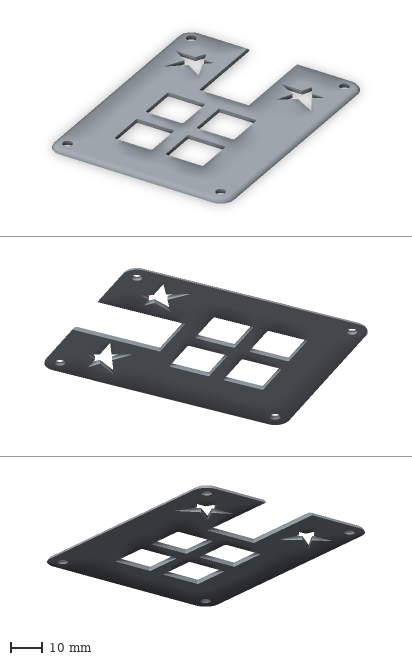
import cadquery as cq
import math

WIDTH = 67.0
LENGTH = 85.9
THICKNESS = 1.5
CORNER_RADIUS = 5.0
EDGE_RADIUS = 2.0

HOLE_DIAMETER = 3.4

NOTCH_LEFT = -9.9
NOTCH_RIGHT = 8.6
NOTCH_FLOOR = 12.1

WINDOW_SIZE = 14.0
WINDOW_RADIUS = 0.5
WINDOW_PITCH = 19.1
WINDOW_GROUP_CENTER = (-1.0, -10.9)

STAR_TOP = 32.1
STAR_ARMS = 28.7
STAR_FEET = 19.5
LEFT_STAR_LOW_FOOT = 18.3
LEFT_STAR = [
    (-19.4, STAR_TOP),
    (-14.3, STAR_ARMS),
    (-14.6, STAR_FEET),
    (-27.15, LEFT_STAR_LOW_FOOT),
    (-28.7, STAR_ARMS),
]
RIGHT_STAR = [
    (20.0, STAR_TOP),
    (26.8, STAR_ARMS),
    (27.4, STAR_FEET),
    (14.2, STAR_FEET),
    (10.7, STAR_ARMS),
]


def make_plate():
    """Rounded plate whose edge arc is tangent to the top and cut off by the underside."""
    arc_center_drop = EDGE_RADIUS - THICKNESS
    overhang = EDGE_RADIUS - math.sqrt(EDGE_RADIUS**2 - arc_center_drop**2)
    blank_depth = 2 * EDGE_RADIUS
    blank = (
        cq.Workplane("XY")
        .workplane(offset=THICKNESS - blank_depth)
        .rect(WIDTH + 2 * overhang, LENGTH + 2 * overhang)
        .extrude(blank_depth)
        .edges("|Z")
        .fillet(CORNER_RADIUS + overhang)
        .faces(">Z")
        .edges()
        .fillet(EDGE_RADIUS)
    )
    keep = cq.Workplane("XY").rect(2 * WIDTH, 2 * LENGTH).extrude(THICKNESS)
    return blank.intersect(keep)


def make_corner_holes():
    return (
        cq.Workplane("XY")
        .rect(WIDTH - 2 * CORNER_RADIUS, LENGTH - 2 * CORNER_RADIUS, forConstruction=True)
        .vertices()
        .circle(HOLE_DIAMETER / 2)
        .extrude(THICKNESS)
    )


def make_notch():
    return (
        cq.Workplane("XY")
        .moveTo(NOTCH_LEFT, NOTCH_FLOOR)
        .rect(NOTCH_RIGHT - NOTCH_LEFT, LENGTH, centered=False)
        .extrude(THICKNESS)
    )


def make_windows():
    return (
        cq.Workplane("XY")
        .center(*WINDOW_GROUP_CENTER)
        .rarray(WINDOW_PITCH, WINDOW_PITCH, 2, 2)
        .rect(WINDOW_SIZE, WINDOW_SIZE)
        .extrude(THICKNESS)
        .edges("|Z")
        .fillet(WINDOW_RADIUS)
    )


def crossing(a, b, c, d):
    """Point where the line through a and b meets the line through c and d."""
    ab_x, ab_y = b[0] - a[0], b[1] - a[1]
    cd_x, cd_y = d[0] - c[0], d[1] - c[1]
    along = ((c[0] - a[0]) * cd_y - (c[1] - a[1]) * cd_x) / (ab_x * cd_y - ab_y * cd_x)
    return (a[0] + along * ab_x, a[1] + along * ab_y)


def make_star(tips):
    """Pentagram cutter: each inner corner is where two lines between tips cross."""
    outline = []
    count = len(tips)
    for i in range(count):
        tip = tips[i]
        next_tip = tips[(i + 1) % count]
        second_tip = tips[(i + 2) % count]
        previous_tip = tips[i - 1]
        outline.append(tip)
        outline.append(crossing(tip, second_tip, next_tip, previous_tip))
    return cq.Workplane("XY").polyline(outline).close().extrude(THICKNESS)


result = make_plate().cut(make_corner_holes()).cut(make_notch()).cut(make_windows())
for star_tips in (LEFT_STAR, RIGHT_STAR):
    result = result.cut(make_star(star_tips))